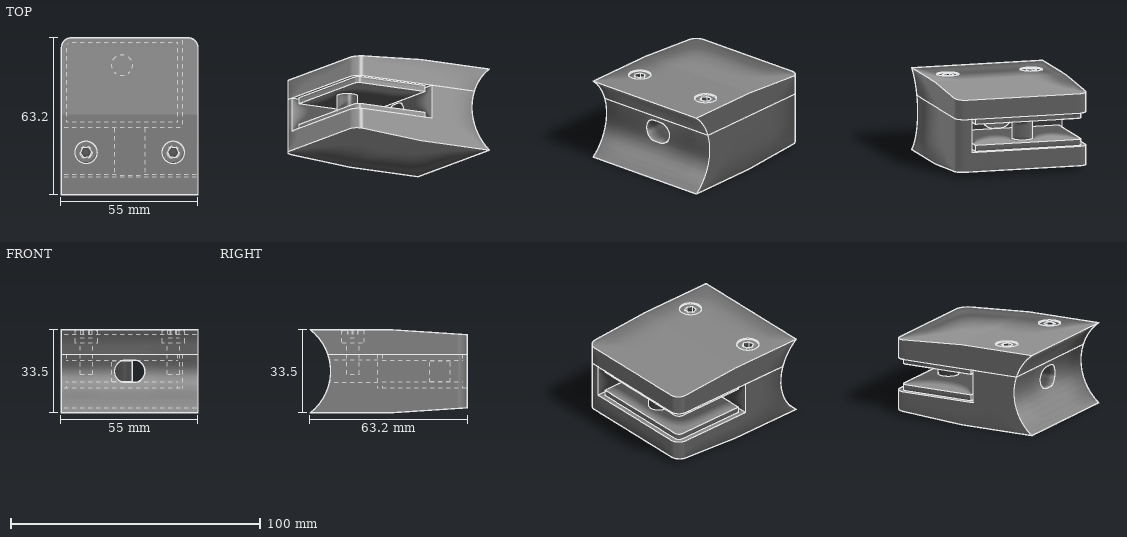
import cadquery as cq
import math

WIDTH = 55.0
LENGTH = 63.2
HEIGHT = 33.5
CORNER_RADIUS = 4.2
TAPER_START_Y = 32.25
TAPER_DROP = 2.0
SADDLE_RADIUS = 21.2

SLOT_HEIGHT = 13.5
SLOT_FLOOR_Y = 27.2
SIDE_WALL = 6.2

PAD_MARGIN = 2.0
PAD_THICKNESS = 2.45

PIN_DIAMETER = 8.35
PIN_Y = 52.15
PIN_CLEARANCE = 0.1

MOUNT_HOLE_LENGTH = 12.15
MOUNT_HOLE_HEIGHT = 9.1

SCREW_X = 17.5
SCREW_Y = 17.1
HEAD_DIAMETER = 9.0
HEAD_HEIGHT = 5.05
HEAD_FILLET = 0.5
HEAD_RECESS = 0.3
SHANK_DIAMETER = 5.05
SHANK_LENGTH = 12.65
SOCKET_ACROSS_FLATS = 4.0
SOCKET_DEPTH = 3.15
SOCKET_TURN = 5.0

HALF_HEIGHT = HEIGHT / 2
SEAM_Z = SLOT_HEIGHT / 2
SADDLE_DEPTH = SADDLE_RADIUS - math.sqrt(SADDLE_RADIUS**2 - HALF_HEIGHT**2)
SLOT_MIN_X = -WIDTH / 2
SLOT_MAX_X = WIDTH / 2 - SIDE_WALL
SLOT_CENTRE_X = (SLOT_MIN_X + SLOT_MAX_X) / 2
PAD_GAP = SLOT_HEIGHT - 2 * PAD_THICKNESS
PIN_LENGTH = PAD_GAP - 2 * PIN_CLEARANCE
HEAD_TOP_Z = HALF_HEIGHT - HEAD_RECESS
HEAD_SEAT_Z = HEAD_TOP_Z - HEAD_HEIGHT
SHANK_END_Z = HEAD_SEAT_Z - SHANK_LENGTH


def box_between(x_range, y_range, z_range):
    """Box spanning the given (low, high) ranges."""
    size = [high - low for low, high in (x_range, y_range, z_range)]
    corner = (x_range[0], y_range[0], z_range[0])
    return cq.Workplane("XY").box(*size, centered=False).translate(corner)


def cylinder(diameter, x, y, z_low, z_high):
    """Vertical cylinder from z_low to z_high."""
    return cq.Workplane("XY", origin=(x, y, z_low)).circle(diameter / 2).extrude(z_high - z_low)


def clamp_envelope():
    """Tapered clamp outline with the saddle at the front and rounded rear corners."""
    rear_half_height = HALF_HEIGHT - TAPER_DROP
    return (
        cq.Workplane("YZ", origin=(-WIDTH / 2, 0, 0))
        .moveTo(0, HALF_HEIGHT)
        .lineTo(TAPER_START_Y, HALF_HEIGHT)
        .lineTo(LENGTH, rear_half_height)
        .lineTo(LENGTH, -rear_half_height)
        .lineTo(TAPER_START_Y, -HALF_HEIGHT)
        .lineTo(0, -HALF_HEIGHT)
        .threePointArc((SADDLE_DEPTH, 0), (0, HALF_HEIGHT))
        .close()
        .extrude(WIDTH)
        .edges("|Z and >Y")
        .fillet(CORNER_RADIUS)
    )


def space_above_seam():
    """Block holding everything above the plane where the cover meets the base."""
    return box_between((-WIDTH / 2, WIDTH / 2), (0, LENGTH), (SEAM_Z, HALF_HEIGHT))


def screw_holes(x):
    """Clearance for one screw: shank bore and head counterbore."""
    bore = cylinder(SHANK_DIAMETER, x, SCREW_Y, SHANK_END_Z, HEAD_SEAT_Z)
    counterbore = cylinder(HEAD_DIAMETER, x, SCREW_Y, HEAD_SEAT_Z, HALF_HEIGHT)
    return bore.union(counterbore)


def make_base():
    """Lower jaw, web with mounting hole, and side wall."""
    slot = box_between((SLOT_MIN_X, SLOT_MAX_X), (SLOT_FLOOR_Y, LENGTH), (-SLOT_HEIGHT / 2, SEAM_Z))
    mount_hole = (
        cq.Workplane("XZ")
        .slot2D(MOUNT_HOLE_LENGTH, MOUNT_HOLE_HEIGHT)
        .extrude(-SLOT_FLOOR_Y)
    )
    base = clamp_envelope().cut(space_above_seam()).cut(slot).cut(mount_hole)
    for x in (-SCREW_X, SCREW_X):
        base = base.cut(screw_holes(x))
    return base


def make_cover():
    """Upper jaw, screwed onto the base."""
    cover = clamp_envelope().intersect(space_above_seam())
    for x in (-SCREW_X, SCREW_X):
        cover = cover.cut(screw_holes(x))
    return cover


def make_pad(z_low):
    """Flat glass pad whose outer rear corner follows the clamp's corner."""
    return (
        box_between(
            (SLOT_MIN_X + PAD_MARGIN, SLOT_MAX_X - PAD_MARGIN),
            (SLOT_FLOOR_Y + PAD_MARGIN, LENGTH - PAD_MARGIN),
            (z_low, z_low + PAD_THICKNESS),
        )
        .edges("|Z and >Y and <X")
        .fillet(CORNER_RADIUS - PAD_MARGIN)
    )


def make_pin():
    """Locating pin standing between the two pads."""
    return cylinder(PIN_DIAMETER, SLOT_CENTRE_X, PIN_Y, -PIN_LENGTH / 2, PIN_LENGTH / 2)


def make_screw(x, socket_turn):
    """Cap screw with a rounded head edge and a hexagon socket."""
    head = cylinder(HEAD_DIAMETER, x, SCREW_Y, HEAD_SEAT_Z, HEAD_TOP_Z).edges(">Z").fillet(HEAD_FILLET)
    shank = cylinder(SHANK_DIAMETER, x, SCREW_Y, SHANK_END_Z, HEAD_SEAT_Z)
    across_corners = SOCKET_ACROSS_FLATS / math.cos(math.pi / 6)
    socket = (
        cq.Workplane("XY")
        .polygon(6, across_corners)
        .extrude(-SOCKET_DEPTH)
        .rotate((0, 0, 0), (0, 0, 1), socket_turn)
        .translate((x, SCREW_Y, HEAD_TOP_Z))
    )
    return head.union(shank).cut(socket)


base = make_base()
cover = make_cover()
pads = [make_pad(z_low) for z_low in (-SLOT_HEIGHT / 2, PAD_GAP / 2)]
pin = make_pin()
screws = [make_screw(side * SCREW_X, -side * SOCKET_TURN) for side in (-1, 1)]

result = cq.Compound.makeCompound(
    [
        base.val(),
        cover.val(),
        *[pad.val() for pad in pads],
        pin.val(),
        *[screw.val() for screw in screws],
    ]
)